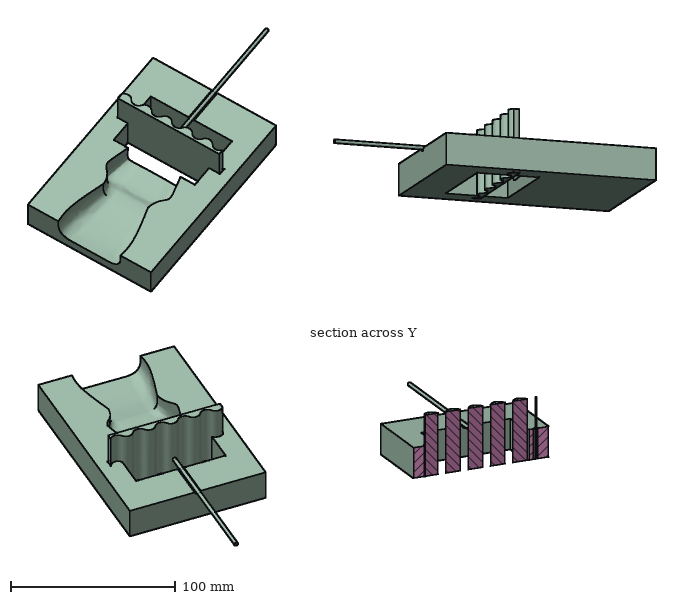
import cadquery as cq
import math


base_width = 91.0
base_length = 135.0
base_height = 20.0

window_width = 60.0
window_front = 70.0
window_back = 110.0

wave_count = 5
wave_pitch = 15.0
wave_amplitude = 2.0
plate_width = wave_count * wave_pitch
plate_height = 40.0
plate_mid_thickness = 3.75
plate_front = 85.25
slot_clearance = 0.5

needle_diameter = 2.5
needle_length = 91.0
needle_back = 191.64
needle_rise = 0.25
needle_axis_height = base_height + needle_rise
groove_diameter = 4.0

waist = (39.0, 16.4, 11.5, 5.5)
front_stations = [(0.0, 22.9, 12.9, 8.0), (8.0, 23.4, 14.4, 8.5), (22.0, 21.2, 14.4, 8.0), waist]
rear_stations = [
    waist,
    (41.2, 16.6, 11.3, 5.0),
    (43.4, 17.2, 11.1, 4.5),
    (47.8, 19.6, 11.8, 3.0),
    (52.2, 23.1, 14.2, 2.0),
    (56.6, 23.0, 14.4, 1.5),
    (61.1, 21.8, 13.4, 1.5),
    (65.5, 20.6, 12.4, 1.5),
    (window_front, 19.4, 11.4, 1.5),
    (74.5, 18.2, 10.4, 1.5),
]
channel_headroom = 5.0


def centred_box(width, y_start, y_end, height):
    """Box from Z = 0, centred on X = 0, between two Y positions."""
    return cq.Workplane("XY", origin=(0, y_start, 0)).box(
        width, y_end - y_start, height, centered=(True, False, False)
    )


def channel_section(y, half_width, depth, radius):
    """Closed XZ wire at the given y: one smooth U-shaped curve with a straight lid."""
    floor = base_height - depth
    top = base_height + channel_headroom
    corner_inset = radius * (1 - math.cos(math.radians(45)))
    right_half = [
        (half_width / 4, floor),
        (half_width / 2, floor),
        (half_width - radius, floor),
        (half_width - corner_inset, floor + corner_inset),
        (half_width, floor + radius),
        (half_width, (floor + radius + top) / 2),
        (half_width, top),
    ]
    left_half = [(-x, z) for x, z in reversed(right_half)]
    outline = (
        cq.Workplane("XZ", origin=(0, y, 0))
        .spline(left_half + right_half, tangents=[(0, -1), (0, 1)])
        .close()
    )
    return outline.val()


def channel_cutter(stations):
    """Smooth loft through the U sections at the given stations."""
    loft = cq.Solid.makeLoft([channel_section(*station) for station in stations])
    return cq.Workplane(loft)


def wavy_slab(width, growth, height):
    """Slab with a flat front and a wavy back of equal arcs, the back grown outward along its normal.

    The wave runs one half wave past the plate at each end and is then trimmed to the given width.
    """
    mid_y = plate_front + plate_mid_thickness
    half_pitch = wave_pitch / 2
    slope_angle = 2 * math.atan(wave_amplitude / (half_pitch / 2))
    shift_x = growth * math.sin(slope_angle)
    shift_y = growth * math.cos(slope_angle)

    def joint(index):
        """Point where half wave number index begins; humps have even numbers."""
        side = -1 if index % 2 == 0 else 1
        return (-plate_width / 2 + index * half_pitch + side * shift_x, mid_y + shift_y)

    first = -1
    last = 2 * wave_count
    outline = cq.Workplane("XY").moveTo(joint(first)[0], plate_front).lineTo(*joint(first))
    for index in range(first, last + 1):
        bulge = wave_amplitude if index % 2 == 0 else -wave_amplitude
        crest = (-plate_width / 2 + (index + 0.5) * half_pitch, mid_y + bulge + growth)
        outline = outline.threePointArc(crest, joint(index + 1))
    slab = outline.lineTo(joint(last + 1)[0], plate_front).close().extrude(height)
    return slab.intersect(centred_box(width, 0, base_length, height))


def rod_along_y(diameter, y_start, y_end):
    """Round bar on the needle axis."""
    return (
        cq.Workplane("XZ", origin=(0, y_start, needle_axis_height))
        .circle(diameter / 2)
        .extrude(y_start - y_end)
    )


def make_base():
    block = centred_box(base_width, 0, base_length, base_height)
    window = centred_box(window_width, window_front, window_back, base_height)
    slot = wavy_slab(plate_width + 2 * slot_clearance, slot_clearance, base_height)
    groove = rod_along_y(groove_diameter, window_back, base_length)
    body = block.cut(window).cut(slot).cut(groove)
    for stations in (front_stations, rear_stations):
        body = body.cut(channel_cutter(stations))
    return body


def make_plate():
    return wavy_slab(plate_width, 0, plate_height)


def make_needle():
    return rod_along_y(needle_diameter, needle_back - needle_length, needle_back)


base = make_base()
plate = make_plate()
needle = make_needle()

result = cq.Compound.makeCompound([base.solids().val(), plate.solids().val(), needle.val()])